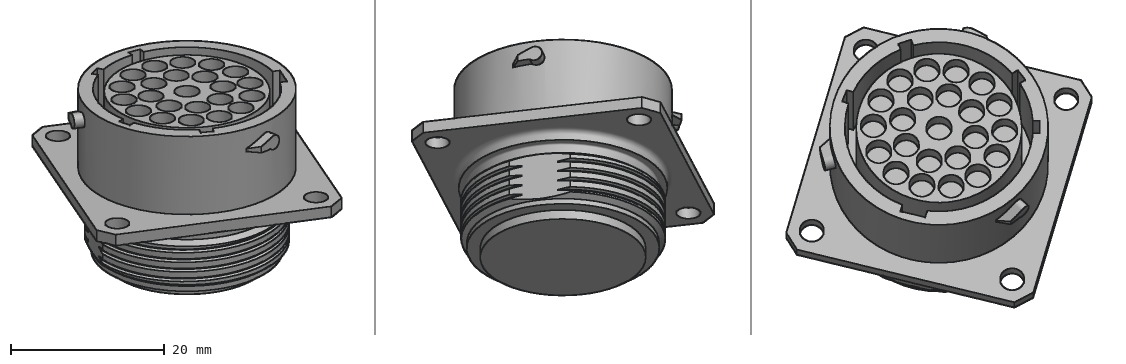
import cadquery as cq
import math


TOTAL_HEIGHT = 24.56
SHELL_TOP = 11.3
INSERT_BOTTOM = SHELL_TOP - TOTAL_HEIGHT
INSERT_RECESS = 0.4
FLANGE_THICKNESS = 1.6
COLLAR_BOTTOM = -3.1
THREAD_TOP = -4.45
THREAD_BOTTOM = -11.2
BODY_BOTTOM = -11.95

FLANGE_SIDE = 33.3
FLANGE_CHAMFER = 2.0
MOUNT_SPACING = 27.0
MOUNT_HOLE_DIAMETER = 3.15

SHELL_RADIUS = 14.2
CAVITY_RADIUS = 12.25
INSERT_RADIUS = 10.77
COLLAR_RADIUS = 13.57
COLLAR_FILLET = 0.7
NECK_RADIUS = 12.53
NECK_FILLET = 0.2

CREST_RADIUS = 13.32
ROOT_RADIUS = 12.91
THREAD_CHAMFER_HEIGHT = 0.6
PITCH = 1.39
GROOVE_MOUTH = 0.5
GROOVE_ROOT = 0.12
GROOVE_START_Z = -11.21
GROOVE_TURNS = 5
CUTTER_OVERSHOOT = 0.3
SLEEVE_EXTRA = 1.2
SLEEVE_BORE_RADIUS = 12.3
FLAT_DISTANCE = 12.68

KEYWAY_RADIUS = 13.1
MAIN_KEY_WIDTH = 3.35
MINOR_KEY_WIDTH = 1.76
MAIN_KEY_ANGLE = 90
MINOR_KEY_ANGLES = (195, 230, 305, 355)

CONTACT_DIAMETER = 3.3
CONTACT_DEPTH = 2.0
OUTER_RING_COUNT = 14
OUTER_RING_RADIUS = 8.55
INNER_RING_COUNT = 8
INNER_RING_RADIUS = 4.9

LUG_ANGLES = (30, 150, 270)
LUG_BUILD_ANGLE = 270
LUG_OUTER_RADIUS = 15.6
LUG_PIN_RADIUS = 1.0
LUG_Z = SHELL_TOP - 2.54
LUG_TAIL_LENGTH = 3.35
LUG_TAIL_TOP = -0.34
LUG_TAIL_BOTTOM = -0.76
LUG_TIP_LENGTH = 2.25
LUG_ROOT_RADIUS = 13.5


def cylinder(radius, bottom, top):
    return cq.Workplane("XY").workplane(offset=bottom).circle(radius).extrude(top - bottom)


def make_flange():
    flange = (
        cq.Workplane("XY")
        .workplane(offset=-FLANGE_THICKNESS)
        .rect(FLANGE_SIDE, FLANGE_SIDE)
        .extrude(FLANGE_THICKNESS)
        .edges("|Z")
        .chamfer(FLANGE_CHAMFER)
    )
    return (
        flange.faces(">Z")
        .workplane()
        .rect(MOUNT_SPACING, MOUNT_SPACING, forConstruction=True)
        .vertices()
        .hole(MOUNT_HOLE_DIAMETER)
    )


def make_rear_body():
    """Collar and plain neck, revolved as one profile below the flange."""
    bend = math.sqrt(0.5)
    flange_bottom = -FLANGE_THICKNESS
    collar_mid = COLLAR_FILLET * (1 - bend)
    neck_mid = NECK_FILLET * (1 - bend)
    return (
        cq.Workplane("XZ")
        .moveTo(0, flange_bottom)
        .lineTo(COLLAR_RADIUS + COLLAR_FILLET, flange_bottom)
        .threePointArc(
            (COLLAR_RADIUS + collar_mid, flange_bottom - collar_mid),
            (COLLAR_RADIUS, flange_bottom - COLLAR_FILLET),
        )
        .lineTo(COLLAR_RADIUS, COLLAR_BOTTOM)
        .lineTo(NECK_RADIUS + NECK_FILLET, COLLAR_BOTTOM)
        .threePointArc(
            (NECK_RADIUS + neck_mid, COLLAR_BOTTOM - neck_mid),
            (NECK_RADIUS, COLLAR_BOTTOM - NECK_FILLET),
        )
        .lineTo(NECK_RADIUS, BODY_BOTTOM)
        .lineTo(0, BODY_BOTTOM)
        .close()
        .revolve(360, (0, 0), (0, 1))
    )


def make_thread_groove():
    """Helical cutter whose flanks widen steadily from the root to past the crest."""
    flank_slope = (GROOVE_MOUTH - GROOVE_ROOT) / 2 / (CREST_RADIUS - ROOT_RADIUS)
    outer_half_width = GROOVE_MOUTH / 2 + flank_slope * CUTTER_OVERSHOOT
    outer_radius = CREST_RADIUS + CUTTER_OVERSHOOT
    helix = cq.Wire.makeHelix(PITCH, PITCH * GROOVE_TURNS, ROOT_RADIUS)
    groove = (
        cq.Workplane("XZ")
        .polyline([
            (ROOT_RADIUS, -GROOVE_ROOT / 2),
            (outer_radius, -outer_half_width),
            (outer_radius, outer_half_width),
            (ROOT_RADIUS, GROOVE_ROOT / 2),
        ])
        .close()
        .sweep(cq.Workplane(obj=helix), isFrenet=True)
    )
    return groove.translate((0, 0, GROOVE_START_Z))


def make_thread_envelope():
    """Outline of the thread with both ends chamfered down to the neck."""
    return (
        cq.Workplane("XZ")
        .polyline([
            (0, THREAD_TOP),
            (NECK_RADIUS, THREAD_TOP),
            (CREST_RADIUS, THREAD_TOP - THREAD_CHAMFER_HEIGHT),
            (CREST_RADIUS, THREAD_BOTTOM + THREAD_CHAMFER_HEIGHT),
            (NECK_RADIUS, THREAD_BOTTOM),
            (0, THREAD_BOTTOM),
        ])
        .close()
        .revolve(360, (0, 0), (0, 1))
    )


def make_thread():
    """Plain sleeve, longer than the thread, grooved and then trimmed to the envelope.

    The sleeve wall reaches inside the neck so that the two join.
    """
    sleeve_bottom = THREAD_BOTTOM - SLEEVE_EXTRA
    sleeve_top = THREAD_TOP + SLEEVE_EXTRA
    sleeve = cylinder(CREST_RADIUS, sleeve_bottom, sleeve_top)
    sleeve = sleeve.cut(cylinder(SLEEVE_BORE_RADIUS, sleeve_bottom, sleeve_top))
    grooved = sleeve.cut(make_thread_groove())
    return cut_thread_flats(grooved.intersect(make_thread_envelope()))


def cut_thread_flats(body):
    """Mill a flat on the -Y and +Y sides of the thread."""
    cut_depth = CREST_RADIUS - FLAT_DISTANCE
    for side in (-1, 1):
        cutter = cq.Workplane("XY").box(
            2 * CREST_RADIUS, cut_depth, THREAD_TOP - THREAD_BOTTOM
        ).translate(
            (0, side * (FLAT_DISTANCE + cut_depth / 2), (THREAD_TOP + THREAD_BOTTOM) / 2)
        )
        body = body.cut(cutter)
    return body


def make_keyway(width, angle):
    slot = (
        cq.Workplane("XY")
        .center(KEYWAY_RADIUS / 2, 0)
        .rect(KEYWAY_RADIUS, width)
        .extrude(SHELL_TOP)
    )
    return slot.rotate((0, 0, 0), (0, 0, 1), angle)


def make_shell():
    shell = cylinder(SHELL_RADIUS, 0, SHELL_TOP)
    shell = shell.cut(cylinder(CAVITY_RADIUS, 0, SHELL_TOP))
    shell = shell.cut(make_keyway(MAIN_KEY_WIDTH, MAIN_KEY_ANGLE))
    for angle in MINOR_KEY_ANGLES:
        shell = shell.cut(make_keyway(MINOR_KEY_WIDTH, angle))
    return shell


def ring_points(radius, count):
    """Evenly spaced points on a circle, the first one on the +Y axis."""
    step = 2 * math.pi / count
    return [(radius * math.sin(i * step), radius * math.cos(i * step)) for i in range(count)]


def make_insert():
    """Contact insert running through the whole connector, with blind contact holes."""
    face_z = SHELL_TOP - INSERT_RECESS
    insert = cylinder(INSERT_RADIUS, INSERT_BOTTOM, face_z)
    holes = (
        cq.Workplane("XY")
        .workplane(offset=face_z - CONTACT_DEPTH)
        .pushPoints(
            [(0, 0)]
            + ring_points(INNER_RING_RADIUS, INNER_RING_COUNT)
            + ring_points(OUTER_RING_RADIUS, OUTER_RING_COUNT)
        )
        .circle(CONTACT_DIAMETER / 2)
        .extrude(CONTACT_DEPTH)
    )
    return insert.cut(holes)


def make_lug(angle):
    """Lug built on the -Y side, its tail toward -X, then turned so its pin sits at angle."""
    pin_to_tail = math.hypot(LUG_TAIL_LENGTH, LUG_TAIL_TOP)
    tail_slope = math.atan2(-LUG_TAIL_TOP, LUG_TAIL_LENGTH)
    tangent_angle = math.pi + tail_slope - math.acos(LUG_PIN_RADIUS / pin_to_tail)
    pin_bottom_x = -math.sqrt(LUG_PIN_RADIUS ** 2 - LUG_TAIL_BOTTOM ** 2)
    outline = (
        cq.Workplane("XZ")
        .moveTo(pin_bottom_x, LUG_TAIL_BOTTOM)
        .threePointArc(
            (LUG_PIN_RADIUS, 0),
            (LUG_PIN_RADIUS * math.cos(tangent_angle), LUG_PIN_RADIUS * math.sin(tangent_angle)),
        )
        .lineTo(-LUG_TAIL_LENGTH, LUG_TAIL_TOP)
        .lineTo(-LUG_TAIL_LENGTH, LUG_TAIL_BOTTOM)
        .close()
        .extrude(LUG_OUTER_RADIUS)
        .translate((0, 0, LUG_Z))
    )
    tail_root_y = -math.sqrt(SHELL_RADIUS ** 2 - LUG_TAIL_LENGTH ** 2)
    tip_y = -math.sqrt(LUG_OUTER_RADIUS ** 2 - LUG_TIP_LENGTH ** 2)
    plan = (
        cq.Workplane("XY")
        .moveTo(-LUG_TAIL_LENGTH, -LUG_ROOT_RADIUS)
        .lineTo(-LUG_TAIL_LENGTH, tail_root_y)
        .lineTo(-LUG_TIP_LENGTH, tip_y)
        .threePointArc((0, -LUG_OUTER_RADIUS), (LUG_TIP_LENGTH, tip_y))
        .lineTo(LUG_TIP_LENGTH, -LUG_ROOT_RADIUS)
        .close()
        .extrude(SHELL_TOP)
    )
    return outline.intersect(plan).rotate((0, 0, 0), (0, 0, 1), angle - LUG_BUILD_ANGLE)


result = (
    make_flange()
    .union(make_rear_body())
    .union(make_thread())
    .union(make_shell())
    .union(make_insert())
)
for lug_angle in LUG_ANGLES:
    result = result.union(make_lug(lug_angle))
result = result.solids()